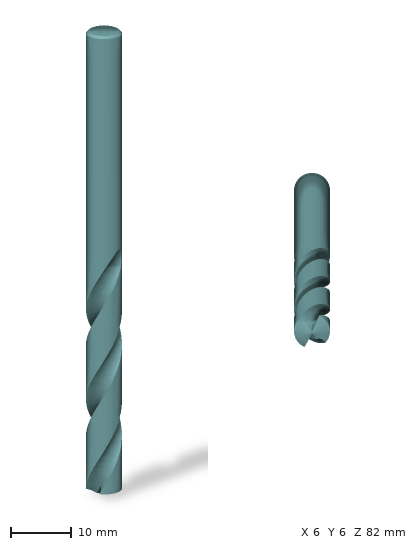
import cadquery as cq
import math

total_length = 82
diameter = 6.0
radius = diameter / 2
top_chamfer = 0.4

point_angle = 140
joint_height = 32
point_height = radius / math.tan(math.radians(point_angle / 2))

flute_count = 2
flute_pitch = 32
flute_end_height = 40.7
flute_radius = 1.9
flute_center_offset = 3.2
first_flute_angle = -91.5
runout_height = 4.9
runout_outward_slope = 0.38

gash_start = cq.Vector(0.2, -0.25, 0.6)
gash_direction = cq.Vector(1.3, -1.3, 2.3)
gash_across = cq.Vector(1, 1, 0)
gash_overrun = 0.8
gash_length = 4.1
gash_depth = 2.5
gash_rake_width = 0.4
gash_heel_width = 4.9


def make_shank():
    """Plain cylinder above the joint, chamfered at its upper end."""
    return (
        cq.Workplane("XY", origin=(0, 0, joint_height))
        .circle(radius)
        .extrude(total_length - joint_height)
        .faces(">Z")
        .chamfer(top_chamfer)
    )


def make_tip():
    """Cylinder below the joint, ending in a conical point at the origin."""
    return (
        cq.Workplane("XZ")
        .polyline([(0, 0), (radius, point_height), (radius, joint_height), (0, joint_height)])
        .close()
        .revolve(360, (0, 0), (0, 1))
    )


def make_helical_cutter(start_angle):
    """Round flute section twisted about the drill axis."""
    twist = 360 * flute_end_height / flute_pitch
    return (
        cq.Workplane("XY")
        .center(flute_center_offset, 0)
        .circle(flute_radius)
        .center(-flute_center_offset, 0)
        .twistExtrude(flute_end_height, twist)
        .rotate((0, 0, 0), (0, 0, 1), start_angle)
    )


def make_runout_cutter(start_angle):
    """Straight continuation of a flute that leans out of the shank."""
    end_angle = start_angle + 360 * flute_end_height / flute_pitch
    tangential_slope = 2 * math.pi * radius / flute_pitch
    direction = cq.Vector(runout_outward_slope, tangential_slope, 1) * runout_height
    section = cq.Wire.makeCircle(
        flute_radius, cq.Vector(flute_center_offset, 0, flute_end_height), cq.Vector(0, 0, 1)
    )
    cutter = cq.Solid.extrudeLinear(section, [], direction)
    return cq.Workplane(cutter).rotate((0, 0, 0), (0, 0, 1), end_angle)


def make_gash_cutter(turn):
    """V prism rising outward from the web, steep on its rake side and shallow on its heel side."""
    origin = gash_start - gash_direction.normalized() * gash_overrun
    section_plane = cq.Plane(origin, gash_across, gash_direction)
    return (
        cq.Workplane(section_plane)
        .polyline([(0, 0), (gash_rake_width, -gash_depth), (-gash_heel_width, -gash_depth)])
        .close()
        .extrude(gash_length + gash_overrun)
        .rotate((0, 0, 0), (0, 0, 1), turn)
    )


shank = make_shank()
tip = make_tip()
for index in range(flute_count):
    turn = index * 360 / flute_count
    flute_angle = first_flute_angle + turn
    helical_cutter = make_helical_cutter(flute_angle)
    shank = shank.cut(helical_cutter).cut(make_runout_cutter(flute_angle))
    tip = tip.cut(helical_cutter).cut(make_gash_cutter(turn))

result = cq.Compound.makeCompound([shank.val(), tip.val()])